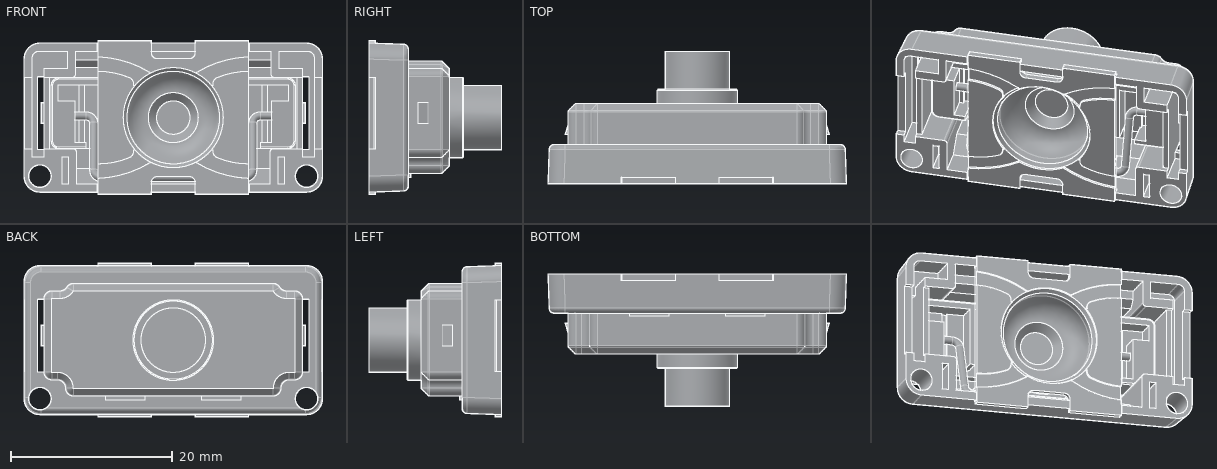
import cadquery as cq
import math


FRAME_WIDTH = 37.0
FRAME_HEIGHT = 18.5
FRAME_DEPTH = 4.9
FRAME_CORNER_R = 2.0
FRAME_DRAFT = 1.9
FRAME_REAR_FILLET = 0.67
FRAME_WALL = 1.02
FRAME_FLOOR_Y = 4.3
INNER_X = FRAME_WIDTH / 2 - FRAME_WALL
INNER_Z = 8.2
INNER_CORNER_R = 0.8

BOX_HALF_WIDTH = 16.03
BOX_TOP = 7.03
BOX_BOTTOM = -6.93
WING_TOP = 6.1
WING_BOTTOM = -4.93
STEP_R = 1.0
STEP_INNER_X = 12.35
BOX_REAR_Y = 9.96
BOX_CHAMFER = 0.94
BOX_EDGE_R = 0.3
BOX_SIDE_WALL = 0.67
SIDE_WALL_FRONT_Y = 0.65
COLLAR_R = 5.0
COLLAR_END_Y = 11.74
COLLAR_CHAMFER = 0.15

POCKET_X = BOX_HALF_WIDTH - BOX_SIDE_WALL
POCKET_TOP = 4.97
POCKET_BOTTOM = -3.86
POCKET_REAR_Y = 9.06

MIDDLE_TOP_X = 12.12
MIDDLE_BOTTOM_X = 12.0
MIDDLE_RAMP_END_Y = 5.2
MIDDLE_RAMP_TOP = 7.14
MIDDLE_FLOOR_TOP = 6.2
MIDDLE_FLOOR_BOTTOM = -6.3
MIDDLE_EDGE_R = 0.4

SADDLE_OUTER_X = 8.4
SADDLE_INNER_X = 3.5
SADDLE_FRONT_Y = 1.7

RIB_THICKNESS = 1.0
RIB_TOP = 6.1
SIDE_SLOT_BOTTOM = -4.86
WINDOW_OUTER_X = 16.8
WINDOW_MARGIN = 0.09
SIDE_NOTCH_DEPTH = 0.8
SCREW_X = 16.52
SCREW_Z = -7.25
SCREW_R = 1.38
GROOVE_X = 13.4
GROOVE_WIDTH = 0.8
GROOVE_TOP = -4.86
GROOVE_DEPTH = 3.0

HOOK_FRONT_Y = 6.1
HOOK_REAR_Y = 7.3
HOOK_REACH = 0.34
HOOK_TOP = 1.86
HOOK_BOTTOM = -0.7

COVER_HALF_WIDTH = 9.33
COVER_HALF_HEIGHT = 19.05 / 2
COVER_THICKNESS = 0.8
COVER_GAP = 0.1
COVER_NOTCH_X = 2.72
COVER_NOTCH_Z = 7.3
COVER_NOTCH_R = 0.75
BAND_DEPTH = 0.3
BAND_OUTER_EDGE_Z = 7.53
BAND_OUTER_MIDDLE = (6.38, 7.08)
BAND_OUTER_END = (2.9, 5.6)
BAND_INNER_EDGE_Z = 5.73
BAND_INNER_MIDDLE = (7.3, 5.53)
BAND_HOOK_START = (5.48, 4.97)
BAND_HOOK_MIDDLE = (5.03, 4.6)
BAND_HOOK_END = (4.93, 4.0)
BOWL_RIM_R = 6.2
BOWL_EDGE_R = 5.74
BOWL_EDGE_Y = 0.7
BOWL_ARC_START_Y = 1.85
BOWL_NECK_R = 3.1
BOWL_BOTTOM_R = 2.07
BOWL_BOTTOM_Y = 5.5
BOWL_OUTER_R = 6.6
BOWL_OUTER_Y = 3.3
BOWL_TAIL_R = 4.0
BOWL_TAIL_START_Y = 4.55
BOWL_END_Y = 6.2

SLIDER_X = 15.12
SLIDER_TOP = 4.94
SLIDER_BOTTOM = -3.84
SLIDER_FRONT_Y = 4.6
SLIDER_CORNER_R = 0.95
SLIDER_CHAMFER = 0.17
SLIDER_RECESS_Y = 7.4
RECESS_TOP = 4.05
RECESS_ARM_X = 14.3
RECESS_ARM_BOTTOM = 2.05
RECESS_SIDE_X = 12.2
RECESS_LEDGE_Z = -3.1
RECESS_OPEN_X = 10.8
FLOOR_GROOVE_INNER_X = 11.0
FLOOR_GROOVE_OUTER_X = 11.68
FLOOR_GROOVE_DEPTH = 0.5
SLIDER_WEB_X = 8.2
SLIDER_WEB_THICKNESS = 0.67
STEM_R = 4.0
STEM_END_Y = 16.42

WIRE_R = 0.5
WIRE_BEND_R = 0.95
WIRE_ARM_X = 9.85
WIRE_END_X = 13.0
WIRE_PIVOT_Y = 6.1
WIRE_PIVOT_Z = 0.2
WIRE_CROSS_Y = 3.3
WIRE_CROSS_Z = -7.43

SIDES = (-1, 1)
PICK = 0.05


def block(x_a, x_b, y_a, y_b, z_a, z_b):
    """Box between two opposite corners; each pair may run either way."""
    size = (abs(x_b - x_a), abs(y_b - y_a), abs(z_b - z_a))
    middle = ((x_a + x_b) / 2, (y_a + y_b) / 2, (z_a + z_b) / 2)
    return cq.Workplane("XY").box(*size).translate(middle)


def plane_at(y):
    """XZ workplane at depth y; local x is X and local y is Z."""
    return cq.Workplane("XZ", origin=(0, y, 0))


def rod(radius, y_a, y_b, x=0.0, z=0.0):
    """Cylinder along Y."""
    return plane_at(y_a).center(x, z).circle(radius).extrude(y_a - y_b)


def mirrored_x(shape):
    """The shape together with its mirror image across X = 0."""
    return shape.union(shape.mirror("YZ"))


def frame_block():
    """Drafted frame with rounded corners and a rounded rear edge."""
    frame = (
        plane_at(0)
        .rect(FRAME_WIDTH, FRAME_HEIGHT)
        .extrude(-FRAME_DEPTH, taper=FRAME_DRAFT)
        .edges("not(<Y or >Y)")
        .fillet(FRAME_CORNER_R)
    )
    return frame.faces(">Y").edges().fillet(FRAME_REAR_FILLET)


def box_block():
    """Rear box: a tall middle that steps down to lower wings with S-shaped and quarter-round steps."""
    top_rise = (BOX_TOP - WING_TOP) / 2
    top_run = math.sqrt(STEP_R**2 - (STEP_R - top_rise) ** 2)
    s_start_x = STEP_INNER_X + 2 * top_run
    s_middle_x = STEP_INNER_X + top_run
    half_angle = math.asin(top_run / STEP_R) / 2
    s_bulge_x = STEP_R * math.sin(half_angle)
    s_bulge_z = STEP_R * (1 - math.cos(half_angle))
    quarter = STEP_R * (1 - math.cos(math.pi / 4))
    wing_x = BOX_HALF_WIDTH - STEP_R
    outline = (
        plane_at(FRAME_FLOOR_Y)
        .moveTo(0, BOX_TOP)
        .lineTo(STEP_INNER_X, BOX_TOP)
        .threePointArc((STEP_INNER_X + s_bulge_x, BOX_TOP - s_bulge_z), (s_middle_x, BOX_TOP - top_rise))
        .threePointArc((s_start_x - s_bulge_x, WING_TOP + s_bulge_z), (s_start_x, WING_TOP))
        .lineTo(wing_x, WING_TOP)
        .threePointArc((BOX_HALF_WIDTH - quarter, WING_TOP - quarter), (BOX_HALF_WIDTH, WING_TOP - STEP_R))
        .lineTo(BOX_HALF_WIDTH, WING_BOTTOM + STEP_R)
        .threePointArc((BOX_HALF_WIDTH - quarter, WING_BOTTOM + quarter), (wing_x, WING_BOTTOM))
        .lineTo(STEP_INNER_X + 2 * STEP_R, WING_BOTTOM)
        .threePointArc(
            (STEP_INNER_X + STEP_R + quarter, WING_BOTTOM - quarter),
            (STEP_INNER_X + STEP_R, WING_BOTTOM - STEP_R),
        )
        .threePointArc(
            (STEP_INNER_X + STEP_R - quarter, BOX_BOTTOM + quarter),
            (STEP_INNER_X, BOX_BOTTOM),
        )
        .lineTo(0, BOX_BOTTOM)
        .close()
    )
    box = mirrored_x(outline.extrude(FRAME_FLOOR_Y - BOX_REAR_Y))
    box = box.faces(">Y").edges().chamfer(BOX_CHAMFER)
    chamfer_foot = BOX_REAR_Y - BOX_CHAMFER
    foot_edges = cq.selectors.BoxSelector(
        (-FRAME_WIDTH, chamfer_foot - PICK, -FRAME_WIDTH),
        (FRAME_WIDTH, chamfer_foot + PICK, FRAME_WIDTH),
    )
    return box.edges(foot_edges).fillet(BOX_EDGE_R)


def collar():
    return rod(COLLAR_R, POCKET_REAR_Y, COLLAR_END_Y).faces(">Y").edges().chamfer(COLLAR_CHAMFER)


def hook(side):
    """Snap hook: a wedge with its square edge toward the front."""
    root_x = BOX_HALF_WIDTH - BOX_SIDE_WALL / 2
    tip_x = BOX_HALF_WIDTH + HOOK_REACH
    wedge = (
        cq.Workplane("XY", origin=(0, 0, HOOK_BOTTOM))
        .moveTo(side * root_x, HOOK_FRONT_Y)
        .lineTo(side * tip_x, HOOK_FRONT_Y)
        .lineTo(side * BOX_HALF_WIDTH, HOOK_REAR_Y)
        .lineTo(side * root_x, HOOK_REAR_Y)
        .close()
    )
    return wedge.extrude(HOOK_TOP - HOOK_BOTTOM)


def middle_opening():
    """Open middle between the side blocks, with a ramp at the top and another at the bottom."""
    ramp_top_y = MIDDLE_RAMP_END_Y - (MIDDLE_RAMP_TOP - MIDDLE_FLOOR_TOP)
    ramp_bottom_y = MIDDLE_RAMP_END_Y - (MIDDLE_FLOOR_BOTTOM + INNER_Z)
    upper = (
        cq.Workplane("YZ")
        .polyline(
            [
                (0, 0),
                (0, INNER_Z),
                (ramp_top_y, INNER_Z),
                (ramp_top_y, MIDDLE_RAMP_TOP),
                (MIDDLE_RAMP_END_Y, MIDDLE_FLOOR_TOP),
                (POCKET_REAR_Y, MIDDLE_FLOOR_TOP),
                (POCKET_REAR_Y, 0),
            ]
        )
        .close()
        .extrude(MIDDLE_TOP_X, both=True)
    )
    lower = (
        cq.Workplane("YZ")
        .polyline(
            [
                (0, 0),
                (0, -INNER_Z),
                (ramp_bottom_y, -INNER_Z),
                (MIDDLE_RAMP_END_Y, MIDDLE_FLOOR_BOTTOM),
                (POCKET_REAR_Y, MIDDLE_FLOOR_BOTTOM),
                (POCKET_REAR_Y, 0),
            ]
        )
        .close()
        .extrude(MIDDLE_BOTTOM_X, both=True)
    )
    return upper.union(lower)


def slider_pocket():
    pocket = block(-POCKET_X, POCKET_X, 0, POCKET_REAR_Y, POCKET_BOTTOM, POCKET_TOP)
    wall_relief = block(
        -BOX_HALF_WIDTH, BOX_HALF_WIDTH, 0, SIDE_WALL_FRONT_Y, POCKET_BOTTOM, POCKET_TOP
    )
    return pocket.union(wall_relief)


def wire_saddle(side):
    """Ledge on the bottom ramp that rests on the wire cross bar."""
    return block(
        side * SADDLE_INNER_X,
        side * SADDLE_OUTER_X,
        SADDLE_FRONT_Y,
        MIDDLE_RAMP_END_Y,
        WIRE_CROSS_Z,
        MIDDLE_FLOOR_BOTTOM,
    )


def side_slot(side):
    """Slot beside the box wall that turns inward at the top, leaving an L-shaped rib."""
    slot = block(
        side * BOX_HALF_WIDTH, side * INNER_X, 0, FRAME_FLOOR_Y, SIDE_SLOT_BOTTOM, INNER_Z
    )
    rib_x = MIDDLE_TOP_X + RIB_THICKNESS
    arm = block(side * rib_x, side * INNER_X, 0, FRAME_FLOOR_Y, RIB_TOP, INNER_Z)
    corner = cq.selectors.BoxSelector(
        (side * INNER_X - PICK, -PICK, INNER_Z - PICK),
        (side * INNER_X + PICK, FRAME_FLOOR_Y + PICK, INNER_Z + PICK),
    )
    return slot.union(arm).edges("|Y").edges(corner).fillet(INNER_CORNER_R)


def side_window(side):
    """Opening through the frame floor beside the box wall."""
    return block(
        side * BOX_HALF_WIDTH,
        side * WINDOW_OUTER_X,
        0,
        FRAME_DEPTH,
        POCKET_BOTTOM - WINDOW_MARGIN,
        POCKET_TOP + WINDOW_MARGIN,
    )


def side_notch(side):
    """Shallow notch in the front edge of the frame side wall."""
    return block(
        side * INNER_X, side * FRAME_WIDTH / 2, 0, SIDE_NOTCH_DEPTH, POCKET_BOTTOM, POCKET_TOP
    )


def cover_seats(side):
    """Seats for the cover tabs in the upper and lower frame walls."""
    seat_outer_x = side * (COVER_HALF_WIDTH + COVER_GAP)
    seat_inner_x = side * COVER_NOTCH_X
    upper = block(seat_outer_x, seat_inner_x, 0, COVER_THICKNESS, INNER_Z, FRAME_HEIGHT / 2)
    return upper.union(upper.mirror("XY"))


def housing_body():
    body = frame_block().union(box_block()).union(collar())
    body = body.cut(slider_pocket()).cut(middle_opening())
    corners = [(MIDDLE_TOP_X, POCKET_TOP), (MIDDLE_BOTTOM_X, POCKET_BOTTOM)]
    for side, (corner_x, corner_z) in [(side, corner) for side in SIDES for corner in corners]:
        near_corner = cq.selectors.BoxSelector(
            (side * corner_x - PICK, -PICK, corner_z - PICK),
            (side * corner_x + PICK, POCKET_REAR_Y + PICK, corner_z + PICK),
        )
        body = body.edges("|Y").edges(near_corner).fillet(MIDDLE_EDGE_R)
    for side in SIDES:
        body = body.cut(side_slot(side)).cut(side_window(side)).cut(side_notch(side))
        body = body.cut(cover_seats(side))
        body = body.cut(rod(SCREW_R, 0, FRAME_DEPTH, side * SCREW_X, SCREW_Z))
        groove_left = side * GROOVE_X - GROOVE_WIDTH / 2
        body = body.cut(
            block(groove_left, groove_left + GROOVE_WIDTH, 0, GROOVE_DEPTH, -INNER_Z, GROOVE_TOP)
        )
        body = body.union(hook(side)).union(wire_saddle(side))
    cross_bar_bore = (
        cq.Workplane("YZ")
        .center(WIRE_CROSS_Y, WIRE_CROSS_Z)
        .circle(WIRE_R)
        .extrude(SADDLE_OUTER_X, both=True)
    )
    return body.cut(cross_bar_bore).cut(rod(STEM_R, POCKET_REAR_Y, COLLAR_END_Y))


def band(side, up):
    """Shallow curved recess running from the cover side to the bowl rim, one per quarter."""

    def at(point):
        return (side * point[0], up * point[1])

    inner_edge = (COVER_HALF_WIDTH, BAND_INNER_EDGE_Z)
    outer_edge = (COVER_HALF_WIDTH, BAND_OUTER_EDGE_Z)
    inside_bowl = (BAND_OUTER_END[0], BAND_HOOK_END[1])
    outline = (
        plane_at(0)
        .moveTo(*at(inner_edge))
        .lineTo(*at(outer_edge))
        .threePointArc(at(BAND_OUTER_MIDDLE), at(BAND_OUTER_END))
        .lineTo(*at(inside_bowl))
        .lineTo(*at(BAND_HOOK_END))
        .threePointArc(at(BAND_HOOK_MIDDLE), at(BAND_HOOK_START))
        .threePointArc(at(BAND_INNER_MIDDLE), at(inner_edge))
        .close()
    )
    return outline.extrude(-BAND_DEPTH)


def cover_notch(up):
    """Notch in the middle of the upper or lower cover edge, with rounded inner corners."""
    notch = block(
        -COVER_NOTCH_X, COVER_NOTCH_X, 0, COVER_THICKNESS, COVER_NOTCH_Z, COVER_HALF_HEIGHT
    )
    notch = notch.edges("|Y and <Z").fillet(COVER_NOTCH_R)
    return notch if up > 0 else notch.mirror("XY")


def bowl_cavity():
    """Bowl: short rim, cone, straight wall, quarter-round bottom, then a cone down to a flat floor."""
    arc_r = BOWL_EDGE_R - BOWL_NECK_R
    arc_middle = (
        BOWL_NECK_R + arc_r * math.cos(math.pi / 4),
        BOWL_ARC_START_Y + arc_r * math.sin(math.pi / 4),
    )
    profile = (
        cq.Workplane("XY")
        .moveTo(0, 0)
        .lineTo(BOWL_RIM_R, 0)
        .lineTo(BOWL_RIM_R, BAND_DEPTH)
        .lineTo(BOWL_EDGE_R, BOWL_EDGE_Y)
        .lineTo(BOWL_EDGE_R, BOWL_ARC_START_Y)
        .threePointArc(arc_middle, (BOWL_NECK_R, BOWL_ARC_START_Y + arc_r))
        .lineTo(BOWL_BOTTOM_R, BOWL_BOTTOM_Y)
        .lineTo(0, BOWL_BOTTOM_Y)
        .close()
    )
    return profile.revolve(360, (0, 0, 0), (0, 1, 0))


def bowl_shell():
    profile = (
        cq.Workplane("XY")
        .polyline(
            [
                (0, 0),
                (BOWL_OUTER_R, 0),
                (BOWL_OUTER_R, BOWL_OUTER_Y),
                (BOWL_TAIL_R, BOWL_TAIL_START_Y),
                (BOWL_TAIL_R, BOWL_END_Y),
                (0, BOWL_END_Y),
            ]
        )
        .close()
    )
    return profile.revolve(360, (0, 0, 0), (0, 1, 0))


def cover_body():
    body = block(
        -COVER_HALF_WIDTH, COVER_HALF_WIDTH, 0, COVER_THICKNESS, -COVER_HALF_HEIGHT, COVER_HALF_HEIGHT
    )
    body = body.union(bowl_shell())
    for up in SIDES:
        body = body.cut(cover_notch(up))
        for side in SIDES:
            body = body.cut(band(side, up))
    return body.cut(bowl_cavity())


def wire_body():
    """U-shaped bail: a cross bar, two leaning arms and two ends turned outward into the slider."""
    lean_y = WIRE_CROSS_Y - WIRE_PIVOT_Y
    lean_z = WIRE_CROSS_Z - WIRE_PIVOT_Z
    arm_length = math.hypot(lean_y, lean_z)
    bend = WIRE_BEND_R
    diagonal = bend * (1 - math.cos(math.pi / 4))
    plane = cq.Plane(
        origin=(0, WIRE_PIVOT_Y, WIRE_PIVOT_Z),
        xDir=(1, 0, 0),
        normal=(0, lean_z, -lean_y),
    )
    arm_x = WIRE_ARM_X
    path = (
        cq.Workplane(plane)
        .moveTo(-WIRE_END_X, 0)
        .lineTo(-arm_x - bend, 0)
        .threePointArc((-arm_x - diagonal, -diagonal), (-arm_x, -bend))
        .lineTo(-arm_x, bend - arm_length)
        .threePointArc((-arm_x + diagonal, diagonal - arm_length), (bend - arm_x, -arm_length))
        .lineTo(arm_x - bend, -arm_length)
        .threePointArc((arm_x - diagonal, diagonal - arm_length), (arm_x, bend - arm_length))
        .lineTo(arm_x, -bend)
        .threePointArc((arm_x + diagonal, -diagonal), (arm_x + bend, 0))
        .lineTo(WIRE_END_X, 0)
    )
    start = cq.Workplane("YZ", origin=(-WIRE_END_X, WIRE_PIVOT_Y, WIRE_PIVOT_Z))
    return start.circle(WIRE_R).sweep(path)


def slider_recess():
    half = (
        plane_at(SLIDER_FRONT_Y)
        .polyline(
            [
                (0, RECESS_TOP),
                (RECESS_ARM_X, RECESS_TOP),
                (RECESS_ARM_X, RECESS_ARM_BOTTOM),
                (RECESS_SIDE_X, RECESS_ARM_BOTTOM),
                (RECESS_SIDE_X, RECESS_LEDGE_Z),
                (RECESS_OPEN_X, RECESS_LEDGE_Z),
                (RECESS_OPEN_X, SLIDER_BOTTOM),
                (0, SLIDER_BOTTOM),
            ]
        )
        .close()
        .extrude(SLIDER_FRONT_Y - SLIDER_RECESS_Y)
    )
    return mirrored_x(half)


def slider_body():
    width = 2 * SLIDER_X
    height = SLIDER_TOP - SLIDER_BOTTOM
    body = (
        plane_at(SLIDER_FRONT_Y)
        .center(0, (SLIDER_TOP + SLIDER_BOTTOM) / 2)
        .rect(width, height)
        .extrude(SLIDER_FRONT_Y - POCKET_REAR_Y)
        .edges("|Y")
        .fillet(SLIDER_CORNER_R)
        .faces("<Y")
        .edges()
        .chamfer(SLIDER_CHAMFER)
    )
    body = body.cut(slider_recess())
    for side in SIDES:
        body = body.cut(
            block(
                side * FLOOR_GROOVE_INNER_X,
                side * FLOOR_GROOVE_OUTER_X,
                SLIDER_RECESS_Y,
                SLIDER_RECESS_Y + FLOOR_GROOVE_DEPTH,
                RECESS_LEDGE_Z,
                RECESS_TOP,
            )
        )
        body = body.union(
            block(
                side * SLIDER_WEB_X,
                side * (SLIDER_WEB_X + SLIDER_WEB_THICKNESS),
                SLIDER_FRONT_Y,
                SLIDER_RECESS_Y,
                RECESS_LEDGE_Z,
                RECESS_TOP,
            )
        )
        bore_mouth = (side * RECESS_SIDE_X, WIRE_PIVOT_Y, WIRE_PIVOT_Z)
        bore = cq.Workplane("YZ", origin=bore_mouth).circle(WIRE_R)
        body = body.cut(bore.extrude(side * (WIRE_END_X - RECESS_SIDE_X)))
    return body.union(rod(STEM_R, POCKET_REAR_Y, STEM_END_Y))


housing = housing_body()
cover = cover_body()
wire = wire_body()
slider = slider_body()

result = cq.Compound.makeCompound([housing.val(), cover.val(), wire.val(), slider.val()])